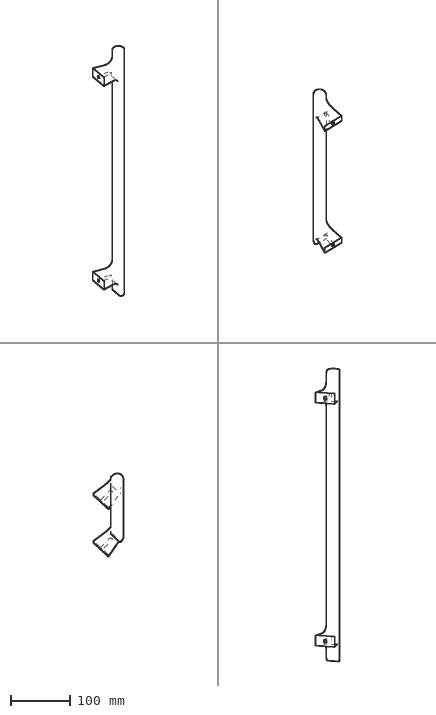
import cadquery as cq
import math

length = 499.5
depth = 51.0
foot_width = 35.0

grip_back_radius = 10.5
grip_depth = 16.0
end_radius = 6.5
edge_radius = 1.5

post_spacing = 416.0
post_height = 18.0
post_root_radius = 14.0
screw_hole_diameter = 4.9
screw_hole_depth = 25.0

half_length = length / 2
grip_front = depth - grip_depth
post_centers = (-post_spacing / 2, post_spacing / 2)


def plan_prism():
    """Tapered section with straight sides tangent to the round back."""
    center_y = depth - grip_back_radius
    foot_x = foot_width / 2
    center_distance = math.hypot(foot_x, center_y)
    foot_angle = math.atan2(-center_y, foot_x)
    tangent_angle = foot_angle + math.acos(grip_back_radius / center_distance)
    tangent_x = grip_back_radius * math.cos(tangent_angle)
    tangent_y = center_y + grip_back_radius * math.sin(tangent_angle)
    return (
        cq.Workplane("XY")
        .workplane(offset=-half_length)
        .moveTo(-foot_x, 0)
        .lineTo(foot_x, 0)
        .lineTo(tangent_x, tangent_y)
        .threePointArc((0, depth), (-tangent_x, tangent_y))
        .close()
        .extrude(length)
    )


def side_prism():
    """Bar with two posts, seen along X, with rounded ends and post roots."""
    bar = (
        cq.Workplane("XY")
        .box(foot_width, grip_depth, length, centered=(True, False, True))
        .translate((0, grip_front, 0))
        .edges("<Y and |X")
        .fillet(end_radius)
    )
    posts = (
        cq.Workplane("XZ")
        .pushPoints([(0, z) for z in post_centers])
        .rect(foot_width, post_height)
        .extrude(-(depth - grip_depth / 2))
    )
    body = bar.union(posts)
    for post_z in post_centers:
        for side in (-1, 1):
            root = (0, grip_front, post_z + side * post_height / 2)
            root_edge = body.edges(cq.selectors.NearestToPointSelector(root))
            body = root_edge.fillet(post_root_radius)
    return body


def soften_edges(body):
    """Round both side outlines, leaving the mounting faces and tangent seams as they are."""
    side_outline = (
        body.edges("not (|X)")
        .filter(lambda edge: edge.Center().y > edge_radius)
        .filter(lambda edge: edge.Length() < length - edge_radius)
    )
    return side_outline.fillet(edge_radius)


def drill_screw_holes(body):
    """Blind screw hole in the middle of each mounting face."""
    holes = (
        cq.Workplane("XZ")
        .pushPoints([(0, z) for z in post_centers])
        .circle(screw_hole_diameter / 2)
        .extrude(-screw_hole_depth)
    )
    return body.cut(holes)


handle = plan_prism().intersect(side_prism())
result = drill_screw_holes(soften_edges(handle))